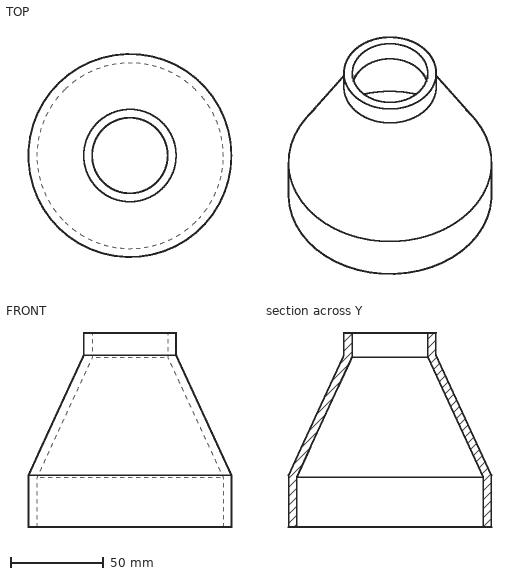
import cadquery as cq
import math

large_diameter = 110.0
small_diameter = 50.0
wall = 4.6
large_length = 28.0
cone_length = 65.0
small_length = 12.0

large_radius = large_diameter / 2
small_radius = small_diameter / 2
cone_top = large_length + cone_length
total_height = cone_top + small_length

cone_half_angle = math.atan2(large_radius - small_radius, cone_length)
bore_drop = wall * math.tan(cone_half_angle / 2)


def stepped_cone(bottom_radius, top_radius, drop=0):
    """Solid of revolution about Z: cylinder, cone lowered by drop, smaller cylinder."""
    return (
        cq.Workplane("XZ")
        .moveTo(0, 0)
        .lineTo(bottom_radius, 0)
        .lineTo(bottom_radius, large_length - drop)
        .lineTo(top_radius, cone_top - drop)
        .lineTo(top_radius, total_height)
        .lineTo(0, total_height)
        .close()
        .revolve(360, (0, 0, 0), (0, 1, 0))
    )


body = stepped_cone(large_radius, small_radius)
bore = stepped_cone(large_radius - wall, small_radius - wall, bore_drop)

result = body.cut(bore)